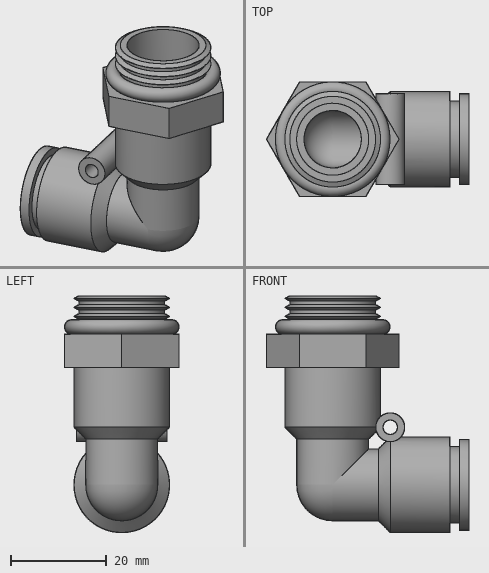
import cadquery as cq
import math

body_radius = 10.0
elbow_radius = 7.5
bore_radius = 6.0
end_distance = 24.5
shoulder_distance = 12.05
cone_length = body_radius - elbow_radius

hex_flats = 24.0
hex_height = 7.0
ring_height = 3.0
ring_outer_radius = 12.0
thread_root_radius = ring_outer_radius - ring_height
thread_crest_radius = body_radius
thread_half_width = 0.6
thread_pitch = 1.9
thread_count = 3
overall_height = 49.5
stem_top = overall_height - body_radius
first_crest_drop = 0.55
counterbore_radius = 7.5
counterbore_depth = 8.0

port_end = 28.5
collar_start = 26.5
collar_radius = 9.5
groove_radius = 8.0

eyelet_radius = 3.0
eyelet_hole_radius = 1.5
eyelet_length = 2 * collar_radius

hex_top = end_distance + hex_height


def rod(plane, radius, start, end):
    """Cylinder along the normal of a plane through the origin."""
    return cq.Workplane(plane).workplane(offset=start).circle(radius).extrude(end - start)


def arm(plane):
    """Elbow pipe, 45 degree shoulder and full-width body along one axis."""
    shoulder = (
        cq.Workplane(plane)
        .workplane(offset=shoulder_distance - cone_length)
        .circle(elbow_radius)
        .workplane(offset=cone_length)
        .circle(body_radius)
        .loft(combine=True)
    )
    pipe = rod(plane, elbow_radius, 0, shoulder_distance)
    body = rod(plane, body_radius, shoulder_distance, end_distance)
    return pipe.union(shoulder).union(body)


def hexagon():
    corner_diameter = hex_flats / math.cos(math.pi / 6)
    return cq.Workplane("XY").workplane(offset=end_distance).polygon(6, corner_diameter).extrude(hex_height)


def threaded_stem():
    """Round seal ring, solid beneath, with separate V-shaped thread ridges above it."""
    half_ring = ring_height / 2
    ring_middle = hex_top + half_ring
    diagonal = math.sqrt(0.5)
    ring_centre_radius = ring_outer_radius - half_ring
    profile = (
        cq.Workplane("XZ")
        .moveTo(0, hex_top)
        .lineTo(ring_centre_radius, hex_top)
        .threePointArc(
            (ring_centre_radius + half_ring * diagonal, ring_middle + half_ring * diagonal),
            (thread_root_radius, ring_middle),
        )
    )
    top_crest = stem_top - first_crest_drop
    for i in reversed(range(thread_count)):
        crest = top_crest - i * thread_pitch
        ridge_end = min(crest + thread_half_width, stem_top)
        profile = (
            profile.lineTo(thread_root_radius, crest - thread_half_width)
            .lineTo(thread_crest_radius, crest)
            .lineTo(thread_root_radius, ridge_end)
        )
    return profile.lineTo(0, stem_top).close().revolve(360, (0, 0, 0), (0, 1, 0))


def port_collar():
    groove = rod("YZ", groove_radius, end_distance, collar_start)
    return groove.union(rod("YZ", collar_radius, collar_start, port_end))


def eyelet_rod(radius):
    """Cylinder along Y, centred where the edges of the two arms cross."""
    return (
        cq.Workplane("XZ")
        .center(shoulder_distance, shoulder_distance)
        .circle(radius)
        .extrude(eyelet_length / 2, both=True)
    )


fitting = arm("XY").union(arm("YZ"))
fitting = fitting.union(cq.Workplane("XY").sphere(elbow_radius))
fitting = fitting.union(hexagon()).union(threaded_stem()).union(port_collar())
fitting = fitting.union(eyelet_rod(eyelet_radius))

passage = rod("XY", bore_radius, 0, stem_top).union(rod("YZ", bore_radius, 0, port_end))
passage = passage.union(cq.Workplane("XY").sphere(bore_radius))
counterbore = rod("XY", counterbore_radius, stem_top - counterbore_depth, stem_top)
eyelet_hole = eyelet_rod(eyelet_hole_radius)

result = fitting.cut(passage).cut(counterbore).cut(eyelet_hole)